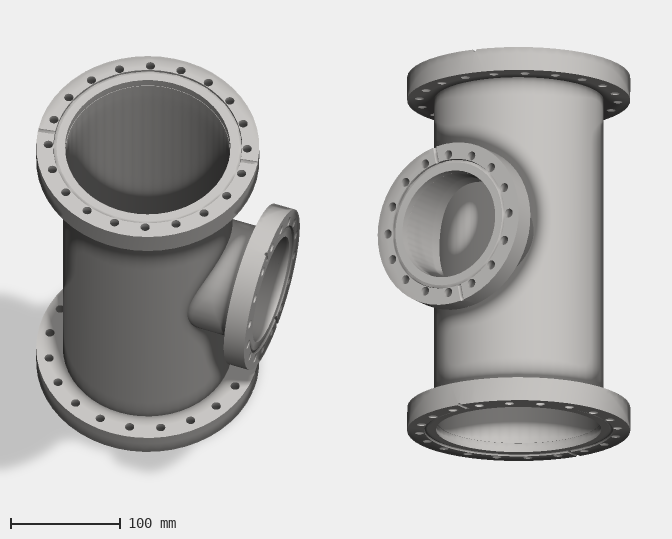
import cadquery as cq
import math

LENGTH = 334.0
MAIN_TUBE_OD = 154.0
MAIN_TUBE_ID = 150.0

BRANCH_TUBE_OD = 104.0
BRANCH_TUBE_ID = 100.0
BRANCH_FACE_X = 120.0

MAIN_FLANGE_OD = 203.0
MAIN_FLANGE_THICKNESS = 21.7
MAIN_BOLT_CIRCLE = 181.0
MAIN_BOLT_COUNT = 20
MAIN_SEAT_DIAMETER = 172.0
MAIN_INSERT_OD = 171.5
MAIN_INSERT_BORE = 150.5

BRANCH_FLANGE_OD = 152.0
BRANCH_FLANGE_THICKNESS = 19.7
BRANCH_BOLT_CIRCLE = 130.3
BRANCH_BOLT_COUNT = 16
BRANCH_SEAT_DIAMETER = 121.2
BRANCH_INSERT_OD = 120.2
BRANCH_INSERT_BORE = BRANCH_TUBE_ID

BOLT_HOLE_DIAMETER = 8.5
GROOVE_WIDTH = 3.7
RING_TUBE_CLEARANCE = 0.5
SEAT_DEPTH = 13.5
TUBE_END_DEPTH = 9.5
INSERT_FACE_DEPTH = 1.0
BEVEL_WIDTH = 2.7
BEVEL_HEIGHT = 1.0


def cylinder(diameter, start, end):
    """Solid cylinder along the local Z axis between two heights."""
    return cq.Workplane("XY").workplane(offset=start).circle(diameter / 2).extrude(end - start)


def flange_ring(outer_diameter, thickness, seat_diameter, tube_diameter, bolt_circle, bolt_count):
    """Bolt ring with its sealing face on local Z = 0 and its back below it."""
    ring = cylinder(outer_diameter, -thickness, 0)
    ring = ring.cut(cylinder(tube_diameter + 2 * RING_TUBE_CLEARANCE, -thickness, 0))
    ring = ring.cut(cylinder(seat_diameter, -SEAT_DEPTH, 0))

    bolt_holes = (
        cq.Workplane("XY")
        .polarArray(bolt_circle / 2, 0, 360, bolt_count)
        .circle(BOLT_HOLE_DIAMETER / 2)
        .extrude(-thickness)
    )
    ring = ring.cut(bolt_holes)

    groove_angle = 180 / bolt_count
    groove = (
        cq.Workplane("YZ")
        .circle(GROOVE_WIDTH / 2)
        .extrude(outer_diameter / 2, both=True)
        .rotate((0, 0, 0), (0, 0, 1), groove_angle)
    )
    return ring.cut(groove)


def flange_insert(outer_diameter, bore, tube_diameter):
    """Sealing insert that sits in the ring and takes the tube end in its back."""
    bevel_bottom = -INSERT_FACE_DEPTH - BEVEL_HEIGHT
    outer_radius = outer_diameter / 2
    return (
        cq.Workplane("XZ")
        .moveTo(bore / 2, -INSERT_FACE_DEPTH)
        .lineTo(outer_radius - BEVEL_WIDTH, -INSERT_FACE_DEPTH)
        .lineTo(outer_radius, bevel_bottom)
        .lineTo(outer_radius, -SEAT_DEPTH)
        .lineTo(tube_diameter / 2, -SEAT_DEPTH)
        .lineTo(tube_diameter / 2, -TUBE_END_DEPTH)
        .lineTo(bore / 2, -TUBE_END_DEPTH)
        .close()
        .revolve(360, (0, 0, 0), (0, 1, 0))
    )


def tee_tube():
    """Main tube and branch tube as one hollow body."""
    main_end = LENGTH / 2 - TUBE_END_DEPTH
    branch_end = BRANCH_FACE_X - TUBE_END_DEPTH
    branch = cq.Workplane("YZ").circle(BRANCH_TUBE_OD / 2).extrude(branch_end)
    branch_bore = cq.Workplane("YZ").circle(BRANCH_TUBE_ID / 2).extrude(branch_end)
    main_bore = cylinder(MAIN_TUBE_ID, -main_end, main_end)
    return cylinder(MAIN_TUBE_OD, -main_end, main_end).union(branch).cut(branch_bore).cut(main_bore)


tube = tee_tube()

main_ring = flange_ring(
    MAIN_FLANGE_OD,
    MAIN_FLANGE_THICKNESS,
    MAIN_SEAT_DIAMETER,
    MAIN_TUBE_OD,
    MAIN_BOLT_CIRCLE,
    MAIN_BOLT_COUNT,
)
main_insert = flange_insert(MAIN_INSERT_OD, MAIN_INSERT_BORE, MAIN_TUBE_OD)

branch_ring = flange_ring(
    BRANCH_FLANGE_OD,
    BRANCH_FLANGE_THICKNESS,
    BRANCH_SEAT_DIAMETER,
    BRANCH_TUBE_OD,
    BRANCH_BOLT_CIRCLE,
    BRANCH_BOLT_COUNT,
)
branch_insert = flange_insert(BRANCH_INSERT_OD, BRANCH_INSERT_BORE, BRANCH_TUBE_OD)

half_pitch = math.pi / MAIN_BOLT_COUNT
bottom_x_direction = (math.cos(half_pitch), math.sin(half_pitch), 0)
top_plane = cq.Plane((0, 0, LENGTH / 2), (1, 0, 0), (0, 0, 1))
bottom_plane = cq.Plane((0, 0, -LENGTH / 2), bottom_x_direction, (0, 0, -1))
branch_plane = cq.Plane((BRANCH_FACE_X, 0, 0), (0, 0, -1), (1, 0, 0))

bodies = [tube.val()]
for ring, insert, plane in [
    (main_ring, main_insert, top_plane),
    (main_ring, main_insert, bottom_plane),
    (branch_ring, branch_insert, branch_plane),
]:
    place = cq.Location(plane)
    bodies.append(ring.val().moved(place))
    bodies.append(insert.val().moved(place))

result = cq.Compound.makeCompound(bodies)